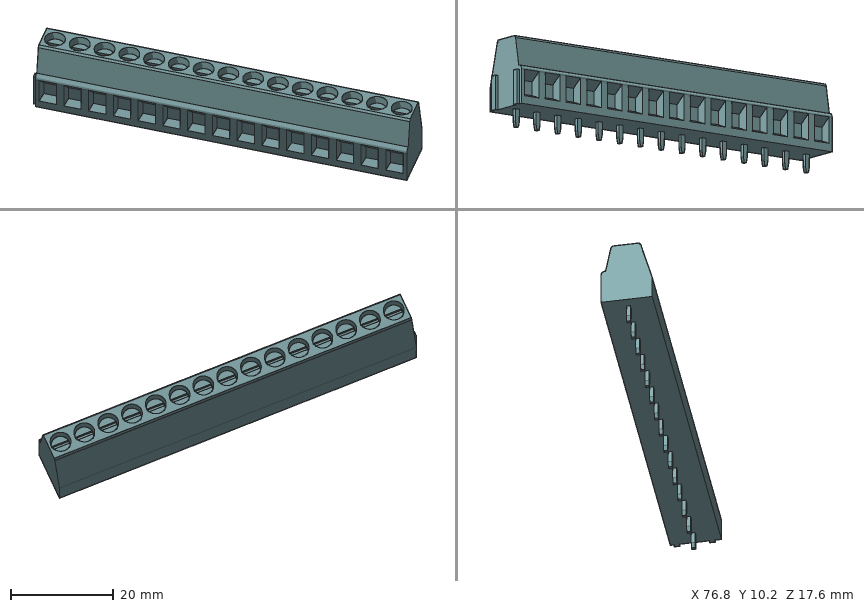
import cadquery as cq

total_length = 76.8
total_height = 17.6
rib_thickness = 0.6
body_length = total_length - rib_thickness
body_depth = 10.2
body_height = 14.0
pole_count = 15
pitch = body_length / pole_count

body_left = -total_length / 2 + rib_thickness
front_y = -body_depth / 2
back_y = body_depth / 2
pole_positions = [body_left + (index + 0.5) * pitch for index in range(pole_count)]

back_wall_height = 4.9
front_wall_height = 6.9
shoulder_radius = 0.9
top_front_y = -2.85
top_back_y = 2.5
chamfer_height = 0.45
chamfer_depth = 0.3

rib_width = 1.15
rib_height = front_wall_height
rib_centers_y = (-3.85, 3.2)

entry_width = 3.5
entry_bottom = 1.6
entry_top = front_wall_height
entry_inner_width = 2.6
entry_inner_bottom = 2.3
entry_inner_top = 5.1
entry_depth = 1.7

screw_y = -0.2
well_diameter = 4.1
well_floor_diameter = 3.7
well_depth = 1.5
slot_width = 0.7
slot_depth = 0.6

pin_length = total_height - body_height
pin_width = 1.0
pin_thickness = 0.8
pin_tip_width = 0.5
pin_taper_length = 1.15


def make_body():
    """Extrude the tapered cross-section with its rounded shoulder along X."""
    return (
        cq.Workplane("YZ", origin=(body_left, 0, 0))
        .moveTo(front_y, 0)
        .lineTo(back_y, 0)
        .lineTo(back_y, back_wall_height)
        .lineTo(top_back_y + chamfer_depth, body_height - chamfer_height)
        .lineTo(top_back_y, body_height)
        .lineTo(top_front_y, body_height)
        .lineTo(top_front_y - chamfer_depth, body_height - chamfer_height)
        .lineTo(front_y + shoulder_radius, front_wall_height + shoulder_radius)
        .radiusArc((front_y, front_wall_height), -shoulder_radius)
        .close()
        .extrude(body_length)
    )


def make_ribs():
    """Upright ribs standing out of the -X end face."""
    centers = [(-total_length / 2 + rib_thickness / 2, y) for y in rib_centers_y]
    return (
        cq.Workplane("XY")
        .pushPoints(centers)
        .rect(rib_thickness, rib_width)
        .extrude(rib_height)
    )


def make_wire_entry(x):
    """Four-sided funnel narrowing from the front face to a flat end."""
    mouth_center = (entry_bottom + entry_top) / 2
    inner_center = (entry_inner_bottom + entry_inner_top) / 2
    return (
        cq.Workplane("XZ", origin=(x, front_y, mouth_center))
        .rect(entry_width, entry_top - entry_bottom)
        .workplane(offset=-entry_depth)
        .center(0, inner_center - mouth_center)
        .rect(entry_inner_width, entry_inner_top - entry_inner_bottom)
        .loft(ruled=True)
    )


def make_screw_well(x):
    """Slightly conical well with a screwdriver slot in its floor."""
    floor_z = body_height - well_depth
    well = (
        cq.Workplane("XY", origin=(x, screw_y, floor_z))
        .circle(well_floor_diameter / 2)
        .workplane(offset=well_depth)
        .circle(well_diameter / 2)
        .loft(ruled=True)
    )
    slot = (
        cq.Workplane("XY", origin=(x, screw_y, floor_z))
        .rect(well_floor_diameter, slot_width)
        .extrude(-slot_depth)
    )
    return well.union(slot)


def make_pin(x):
    """Flat pin under the body, tapered across its width at the tip."""
    taper_start = -pin_length + pin_taper_length
    return (
        cq.Workplane("XZ", origin=(x, 0, 0))
        .moveTo(-pin_width / 2, 0)
        .lineTo(-pin_width / 2, taper_start)
        .lineTo(-pin_tip_width / 2, -pin_length)
        .lineTo(pin_tip_width / 2, -pin_length)
        .lineTo(pin_width / 2, taper_start)
        .lineTo(pin_width / 2, 0)
        .close()
        .extrude(pin_thickness / 2, both=True)
    )


result = make_body().union(make_ribs())
for pole_x in pole_positions:
    result = result.cut(make_wire_entry(pole_x))
    result = result.cut(make_screw_well(pole_x))
    result = result.union(make_pin(pole_x))